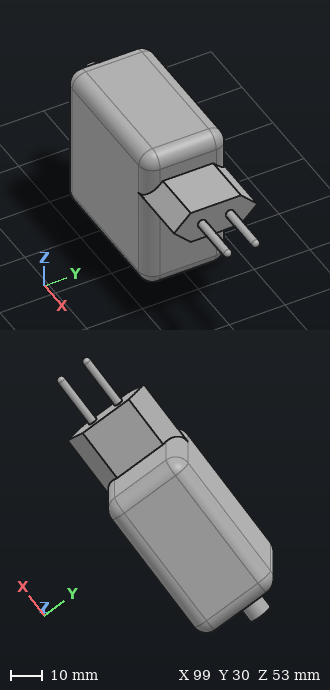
import cadquery as cq
import math

body_side = 53.0
body_depth = 30.0
edge_radius = 4.95
body_end = body_side / 2
body_top = body_side / 2

cable_diameter = 8.0
cable_length = 10.0
cable_drop = 15.0

plug_length = 18.0
plug_height = 11.8
plug_flat = 18.0
plug_drop = 16.0
plug_z = body_top - plug_drop
plug_end = body_end + plug_length

pin_diameter = 3.0
pin_length = 18.0
pin_spacing = 10.0


def make_body():
    return cq.Workplane("XY").box(body_side, body_depth, body_side).edges().fillet(edge_radius)


def make_cable():
    return (
        cq.Workplane("YZ")
        .center(0, body_top - cable_drop)
        .circle(cable_diameter / 2)
        .extrude(-(body_end + cable_length))
    )


def make_plug():
    start = body_end - edge_radius
    half_flat = plug_flat / 2
    half_height = plug_height / 2
    half_depth = body_depth / 2
    outline = [
        (-half_depth, 0),
        (-half_flat, half_height),
        (half_flat, half_height),
        (half_depth, 0),
        (half_flat, -half_height),
        (-half_flat, -half_height),
    ]
    return (
        cq.Workplane("YZ", origin=(start, 0, plug_z))
        .polyline(outline)
        .close()
        .extrude(plug_end - start)
    )


def make_pin(y):
    radius = pin_diameter / 2
    dome_start = pin_length - radius
    arc_offset = radius * math.sqrt(0.5)
    return (
        cq.Workplane("XY", origin=(plug_end, y, plug_z))
        .lineTo(0, radius)
        .lineTo(dome_start, radius)
        .threePointArc((dome_start + arc_offset, arc_offset), (pin_length, 0))
        .close()
        .revolve(360, (0, 0, 0), (1, 0, 0))
    )


result = make_body().union(make_cable()).union(make_plug())
for side in (-1, 1):
    result = result.union(make_pin(side * pin_spacing / 2))